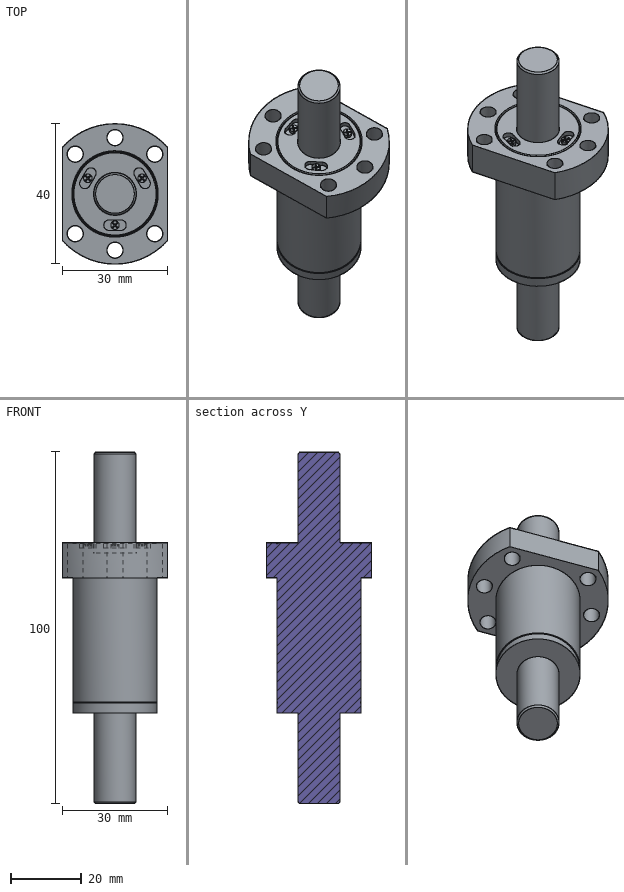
import cadquery as cq
import math

SHAFT_LENGTH = 100.0
SHAFT_DIAMETER = 12.0
SHAFT_CHAMFER = 0.5

NUT_LENGTH = 48.5
NUT_DIAMETER = 24.0
NUT_TOP = NUT_LENGTH / 2
NUT_BOTTOM = -NUT_LENGTH / 2

FLANGE_DIAMETER = 40.0
FLANGE_WIDTH = 30.0
FLANGE_THICKNESS = 10.0
MOUNT_HOLE_DIAMETER = 4.5
MOUNT_CIRCLE_RADIUS = 16.0
MOUNT_HOLE_ANGLES = (45, 90, 135, 225, 270, 315)

CAP_THICKNESS = 3.0
UPPER_GROOVE_WIDTH = 0.6
LOWER_GROOVE_WIDTH = 0.3
UPPER_GROOVE_DEPTH = 0.3
LOWER_GROOVE_DEPTH = 0.2
SHAFT_CLEARANCE_DIAMETER = 12.2

SCREW_ANGLES = (30, 150, 270)
SCREW_CIRCLE_RADIUS = 8.9
RECESS_LENGTH = 6.4
RECESS_WIDTH = 3.0
RECESS_DEPTH = 1.5
SCREW_HEAD_DIAMETER = 2.4
SCREW_HEAD_HEIGHT = 1.0
DRIVE_SLOT_LENGTH = 2.2
DRIVE_SLOT_WIDTH = 0.3
DRIVE_SLOT_DEPTH = 0.5
DRIVE_SLOT_TURNS = (45, 135)


def cylinder(diameter, bottom, height):
    """Upright cylinder on the Z axis."""
    return cq.Workplane("XY").workplane(offset=bottom).circle(diameter / 2).extrude(height)


def ring_groove(corners):
    """Ring cutter made by turning an (r, z) outline about the Z axis."""
    return cq.Workplane("XZ").polyline(corners).close().revolve(360, (0, 0, 0), (0, 1, 0))


def make_shaft():
    shaft = cylinder(SHAFT_DIAMETER, -SHAFT_LENGTH / 2, SHAFT_LENGTH)
    return shaft.faces("<Z or >Z").chamfer(SHAFT_CHAMFER)


def make_flange():
    bottom = NUT_TOP - FLANGE_THICKNESS
    disc = cylinder(FLANGE_DIAMETER, bottom, FLANGE_THICKNESS)
    flats = (
        cq.Workplane("XY")
        .workplane(offset=bottom)
        .rect(FLANGE_WIDTH, FLANGE_DIAMETER)
        .extrude(FLANGE_THICKNESS)
    )
    flange = disc.intersect(flats)
    for angle in MOUNT_HOLE_ANGLES:
        hole = cylinder(MOUNT_HOLE_DIAMETER, bottom, FLANGE_THICKNESS)
        hole = hole.translate((MOUNT_CIRCLE_RADIUS, 0, 0))
        flange = flange.cut(hole.rotate((0, 0, 0), (0, 0, 1), angle))
    return flange


def make_upper_cap_groove():
    """V groove in the flange face, around the upper cap."""
    radius = NUT_DIAMETER / 2
    return ring_groove([
        (radius - UPPER_GROOVE_WIDTH / 2, NUT_TOP),
        (radius, NUT_TOP - UPPER_GROOVE_DEPTH),
        (radius + UPPER_GROOVE_WIDTH / 2, NUT_TOP),
    ])


def make_lower_cap_groove():
    """V groove around the nut body, above the lower cap."""
    radius = NUT_DIAMETER / 2
    height = NUT_BOTTOM + CAP_THICKNESS
    return ring_groove([
        (radius, height - LOWER_GROOVE_WIDTH / 2),
        (radius - LOWER_GROOVE_DEPTH, height),
        (radius, height + LOWER_GROOVE_WIDTH / 2),
    ])


def make_clearance():
    """Narrow gap between the shaft and the upper cap."""
    bottom = NUT_TOP - CAP_THICKNESS
    outer = cylinder(SHAFT_CLEARANCE_DIAMETER, bottom, CAP_THICKNESS)
    return outer.cut(cylinder(SHAFT_DIAMETER, bottom, CAP_THICKNESS))


def make_screw_recess(angle):
    """Recess cutter, long side tangential, that leaves a cross-slotted screw head standing."""
    floor = NUT_TOP - RECESS_DEPTH
    head_top = floor + SCREW_HEAD_HEIGHT
    head = cylinder(SCREW_HEAD_DIAMETER, floor, SCREW_HEAD_HEIGHT)
    drive_plane = cq.Workplane("XY").workplane(offset=head_top - DRIVE_SLOT_DEPTH)
    for turn in DRIVE_SLOT_TURNS:
        drive_slot = drive_plane.rect(DRIVE_SLOT_LENGTH, DRIVE_SLOT_WIDTH).extrude(DRIVE_SLOT_DEPTH)
        head = head.cut(drive_slot.rotate((0, 0, 0), (0, 0, 1), turn))
    recess = (
        cq.Workplane("XY")
        .workplane(offset=floor)
        .slot2D(RECESS_LENGTH, RECESS_WIDTH, 90)
        .extrude(RECESS_DEPTH)
    )
    cutter = recess.rotate((0, 0, 0), (0, 0, 1), angle).cut(head)
    return cutter.translate((
        SCREW_CIRCLE_RADIUS * math.cos(math.radians(angle)),
        SCREW_CIRCLE_RADIUS * math.sin(math.radians(angle)),
        0,
    ))


nut = cylinder(NUT_DIAMETER, NUT_BOTTOM, NUT_LENGTH).union(make_flange())
result = nut.union(make_shaft())
result = result.cut(make_upper_cap_groove()).cut(make_lower_cap_groove()).cut(make_clearance())

for screw_angle in SCREW_ANGLES:
    result = result.cut(make_screw_recess(screw_angle))